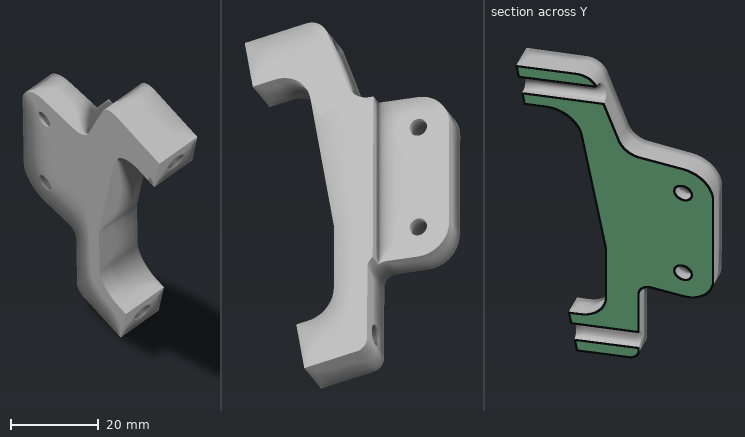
import cadquery as cq
import math

body_thickness = 11.4
tilt = 0.75
arm_angle = 10.0
upper_back_angle = 20.0

hole_spacing = 25.0
flange_radius = 7.5
flange_bottom = 26.0
flange_top = flange_bottom + hole_spacing + 2 * flange_radius
flange_hole_diameter = 4.2
flange_back_y = 8.5
step_x = 17.1

end_face_length = 11.5
arm_hole_diameter = 5.0
shoulder_x = 21.8
lower_back_x = 18.2
inner_edge_x = 26.3
inner_bend_z = 34.4
lower_tip = (33.4, 0.0)
upper_tip = (48.2, 84.3)

inner_radius = 7.5
lower_radius = 3.0
shoulder_radius = 5.3
top_radius = 4.5

arm_slope = math.tan(math.radians(arm_angle))
back_slope = math.tan(math.radians(upper_back_angle))
arm_direction = (math.cos(math.radians(arm_angle)), -math.sin(math.radians(arm_angle)))
end_direction = (-arm_direction[1], arm_direction[0])


def along(point, direction, distance):
    return (point[0] + direction[0] * distance, point[1] + direction[1] * distance)


def tilted_body():
    """Extrude the outline toward +Y, round its corners and drill the arms."""
    lower_end_top = along(lower_tip, end_direction, end_face_length)
    upper_end_bottom = along(upper_tip, end_direction, -end_face_length)

    lower_heel = (lower_back_x, lower_tip[1] + (lower_tip[0] - lower_back_x) * arm_slope)
    lower_inside = (inner_edge_x, lower_end_top[1] + (lower_end_top[0] - inner_edge_x) * arm_slope)
    bend = (inner_edge_x, inner_bend_z)
    reach = ((upper_end_bottom[0] - bend[0]) * arm_direction[0]
             + (upper_end_bottom[1] - bend[1]) * arm_direction[1])
    upper_inside = along(upper_end_bottom, arm_direction, -reach)
    rise = ((upper_tip[1] - flange_top + (upper_tip[0] - shoulder_x) * arm_slope)
            / (1 + back_slope * arm_slope))
    top_corner = (shoulder_x + rise * back_slope, flange_top + rise)

    corners = [
        ((0, flange_bottom), flange_radius),
        ((lower_back_x, flange_bottom), lower_radius),
        (lower_heel, lower_radius),
        (lower_tip, 0),
        (lower_end_top, 0),
        (lower_inside, inner_radius),
        (bend, 0),
        (upper_inside, inner_radius),
        (upper_end_bottom, 0),
        (upper_tip, 0),
        (top_corner, top_radius),
        ((shoulder_x, flange_top), shoulder_radius),
        ((0, flange_top), flange_radius),
    ]
    outline = [point for point, radius in corners]
    body = cq.Workplane("XZ").polyline(outline).close().extrude(-body_thickness)
    for (x, z), radius in corners:
        if radius > 0:
            nearest_edge = cq.selectors.NearestToPointSelector((x, body_thickness / 2, z))
            body = body.edges("|Y").edges(nearest_edge).fillet(radius)

    for tip, side in ((lower_tip, 1), (upper_tip, -1)):
        center = along(tip, end_direction, side * end_face_length / 2)
        body = body.cut(arm_hole(center))

    x_axis = (1, 0, 0)
    z_axis = (0, 0, 1)
    origin = (0, 0, 0)
    return body.rotate(origin, x_axis, tilt).rotate(origin, z_axis, -tilt)


def arm_hole(center):
    overshoot = 0.9
    length = 34.85
    start = along(center, arm_direction, overshoot)
    return cq.Workplane(cq.Solid.makeCylinder(
        arm_hole_diameter / 2, length,
        cq.Vector(start[0], body_thickness / 2, start[1]),
        cq.Vector(-arm_direction[0], 0, -arm_direction[1]),
    ))


def flange_relief(lowest_y):
    """Material behind the flange, bounded by the flat mounting face and the step wall."""
    margin = 4.35
    return cq.Workplane("XY").box(
        step_x + margin, body_thickness, flange_top - flange_bottom + 2 * margin, centered=False
    ).translate((-margin, lowest_y + flange_back_y, flange_bottom - margin))


def flange_holes():
    lower_hole_z = flange_bottom + flange_radius
    centers = [(flange_radius, lower_hole_z), (flange_radius, lower_hole_z + hole_spacing)]
    return (
        cq.Workplane("XZ").pushPoints(centers)
        .circle(flange_hole_diameter / 2).extrude(2 * body_thickness, both=True)
    )


body = tilted_body()
front_y = body.val().BoundingBox().ymin
result = body.cut(flange_relief(front_y)).cut(flange_holes())